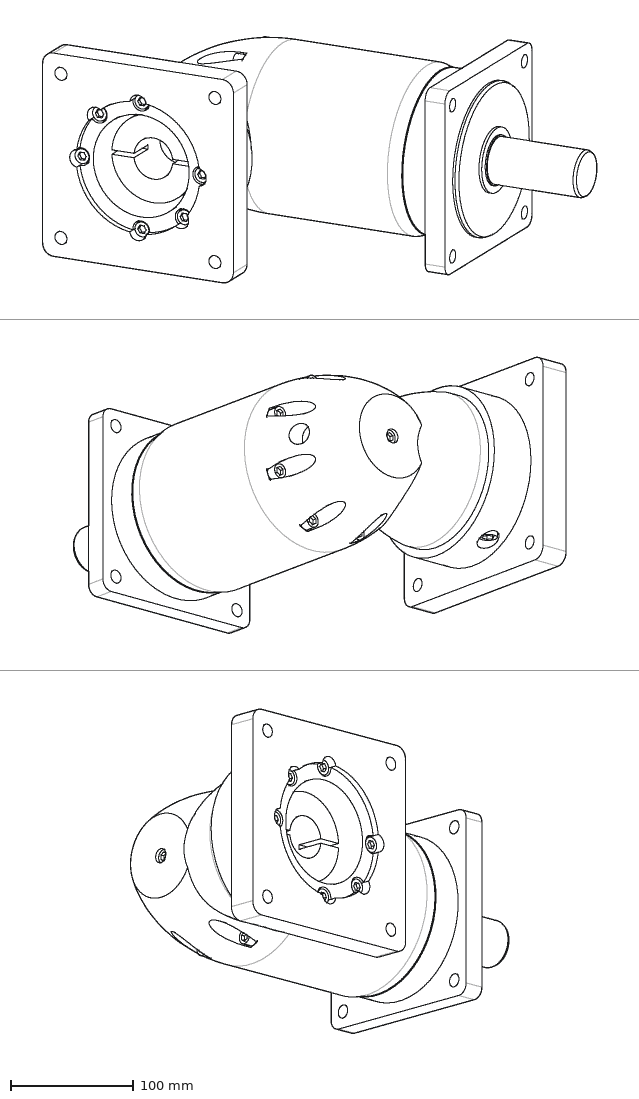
import cadquery as cq
import math


BARREL_FRONT_X = -45.3
OGIVE_END_X = 56.5
BARREL_END_X = 189.0
NECK_START_X = 201.0
GROOVE_END_X = 201.8
FLANGE_X = 227.0
FLANGE_THICKNESS = 18.0
BOSS_LENGTH = 5.0
SEAL_LENGTH = 2.5
SHOULDER_LENGTH = 1.3
SHAFT_END_X = 335.5
BOSS_X = FLANGE_X + FLANGE_THICKNESS
SEAL_X = BOSS_X + BOSS_LENGTH
SHOULDER_X = SEAL_X + SEAL_LENGTH
SHAFT_X = SHOULDER_X + SHOULDER_LENGTH

BARREL_FRONT_RADIUS = 35.5
BARREL_RADIUS = 72.5
NECK_RADIUS = 70.0
NECK_HOLLOW = 0.5
GROOVE_DEPTH = 0.5
BOSS_RADIUS = 65.0
BOSS_CHAMFER_LENGTH = 3.0
BOSS_CHAMFER_DEPTH = 1.3
SEAL_RADIUS = 27.5
SHOULDER_RADIUS = 21.0
SHAFT_RADIUS = 20.0
SHAFT_CHAMFER_LENGTH = 2.5
SHAFT_CHAMFER_DEPTH = 1.3

FLANGE_SIDE = 158.0
FLANGE_CORNER_RADIUS = 9.0
FLANGE_HOLE_OFFSET = 65.0
FLANGE_HOLE_RADIUS = 5.5

ELBOW_TIP_Y = -25.5
ELBOW_ARC_Y = -78.0
COLLAR_Y = -86.7
PLATE_Y = -126.0
INPUT_FACE_Y = -151.0
ELBOW_RADIUS = 65.0
ELBOW_TIP_RADIUS = 44.0
ELBOW_BULGE = 3.5
COLLAR_RADIUS = 72.5

PLATE_SIDE = 175.0
PLATE_CORNER_RADIUS = 10.0
PLATE_HOLE_OFFSET = 70.5
PLATE_HOLE_RADIUS = 5.5
SPIGOT_RADIUS = 56.5
SPIGOT_SETBACK = 6.0
SPIGOT_FACE_Y = INPUT_FACE_Y + SPIGOT_SETBACK

INPUT_BORE_RADIUS = 44.0
INPUT_BORE_FLOOR_Y = -76.0
HUB_RADIUS = 38.0
HUB_BORE_RADIUS = 17.8
HUB_SETBACK = 22.0
HUB_FACE_Y = SPIGOT_FACE_Y + HUB_SETBACK
SLIT_WIDTH = 4.0
SLIT_DEPTH = 25.5

SOCKET_DIAMETER = 7.5
SOCKET_DEPTH = 3.5

BARREL_SCREW_CIRCLE_RADIUS = 64.7
BARREL_SCREW_ANGLES = (-112.5, -67.5, -22.5, 22.5, 67.5, 112.5)
BARREL_POCKET_RADIUS = 7.0
BARREL_HEAD_RADIUS = 6.0
BARREL_POCKET_FLOOR_X = 35.0
BARREL_HEAD_HEIGHT = 9.0

PLATE_SCREW_CIRCLE_RADIUS = 55.0
PLATE_SCREW_ANGLES = (0, 90, 135, 180, 270, 315)
PLATE_POCKET_RADIUS = 7.5
PLATE_POCKET_DEPTH = 12.5
PLATE_HEAD_RADIUS = 6.5
PLATE_HEAD_SETBACK = 7.0

COLLAR_SCREW_X = 35.5
COLLAR_SCREW_Y = -111.2
COLLAR_POCKET_RADIUS = 9.0
COLLAR_POCKET_FLOOR_Z = 50.8
COLLAR_HEAD_RADIUS = 7.5
COLLAR_HEAD_HEIGHT = 9.7
COLLAR_SOCKET_DIAMETER = 10.0

FRONT_POCKET_RADIUS = 6.0
FRONT_POCKET_DEPTH = 3.5

REAR_HOLE_RADIUS = 9.0
REAR_HOLE_FLOOR_Y = 50.8

X_DIR = cq.Vector(1, 0, 0)
Y_DIR = cq.Vector(0, 1, 0)
Z_DIR = cq.Vector(0, 0, 1)


def rod(radius, start, end):
    """Solid cylinder whose axis runs from start to end."""
    axis = end - start
    return cq.Workplane(cq.Solid.makeCylinder(radius, axis.Length, start, axis))


def socket(mouth, inward, diameter=SOCKET_DIAMETER):
    """Hexagonal screw socket that opens at mouth."""
    plane = cq.Plane(mouth, (inward.y, inward.z, inward.x), inward)
    return cq.Workplane(plane).polygon(6, diameter).extrude(SOCKET_DEPTH)


def screw_head(radius, top, base, socket_diameter=SOCKET_DIAMETER):
    """Socket-head screw: a round head from base to top with a hexagonal socket in the top."""
    inward = (base - top).normalized()
    return rod(radius, top, base).cut(socket(top, inward, socket_diameter))


def square_plate(plane, side, thickness, corner_radius, hole_offset, hole_radius):
    """Square plate with rounded corners and a through hole near each corner."""
    blank = cq.Workplane(plane).rect(side, side).extrude(thickness)
    blank = blank.edges(cq.selectors.ParallelDirSelector(plane.zDir)).fillet(corner_radius)
    holes = (
        cq.Workplane(plane)
        .rect(2 * hole_offset, 2 * hole_offset, forConstruction=True)
        .vertices()
        .circle(hole_radius)
        .extrude(thickness)
    )
    return blank.cut(holes)


def barrel():
    """Turned body about X: ogive nose, barrel, neck, boss, seal ring and output shaft."""
    length = OGIVE_END_X - BARREL_FRONT_X
    rise = BARREL_RADIUS - BARREL_FRONT_RADIUS
    arc_radius = (length**2 + rise**2) / (2 * rise)
    half_length = length / 2
    mid_radius = BARREL_RADIUS - arc_radius + math.sqrt(arc_radius**2 - half_length**2)
    return (
        cq.Workplane("XZ")
        .moveTo(BARREL_FRONT_X, 0)
        .lineTo(BARREL_FRONT_X, BARREL_FRONT_RADIUS)
        .threePointArc((OGIVE_END_X - half_length, mid_radius), (OGIVE_END_X, BARREL_RADIUS))
        .lineTo(BARREL_END_X, BARREL_RADIUS)
        .sagittaArc((NECK_START_X, NECK_RADIUS), -NECK_HOLLOW)
        .lineTo(NECK_START_X, NECK_RADIUS - GROOVE_DEPTH)
        .lineTo(GROOVE_END_X, NECK_RADIUS - GROOVE_DEPTH)
        .lineTo(GROOVE_END_X, NECK_RADIUS)
        .lineTo(BOSS_X, NECK_RADIUS)
        .lineTo(BOSS_X, BOSS_RADIUS)
        .lineTo(SEAL_X - BOSS_CHAMFER_LENGTH, BOSS_RADIUS)
        .lineTo(SEAL_X, BOSS_RADIUS - BOSS_CHAMFER_DEPTH)
        .lineTo(SEAL_X, SEAL_RADIUS)
        .lineTo(SHOULDER_X, SEAL_RADIUS)
        .lineTo(SHOULDER_X, SHOULDER_RADIUS)
        .lineTo(SHAFT_X, SHOULDER_RADIUS)
        .lineTo(SHAFT_X, SHAFT_RADIUS)
        .lineTo(SHAFT_END_X - SHAFT_CHAMFER_LENGTH, SHAFT_RADIUS)
        .lineTo(SHAFT_END_X, SHAFT_RADIUS - SHAFT_CHAMFER_DEPTH)
        .lineTo(SHAFT_END_X, 0)
        .close()
        .revolve(360, (0, 0, 0), (1, 0, 0))
    )


def elbow():
    """Turned body about Y: rounded elbow, collar and the spigot for the input plate."""
    return (
        cq.Workplane("XY")
        .moveTo(0, ELBOW_TIP_Y)
        .lineTo(-ELBOW_TIP_RADIUS, ELBOW_TIP_Y)
        .sagittaArc((-ELBOW_RADIUS, ELBOW_ARC_Y), -ELBOW_BULGE)
        .lineTo(-ELBOW_RADIUS, COLLAR_Y)
        .lineTo(-COLLAR_RADIUS, COLLAR_Y)
        .lineTo(-COLLAR_RADIUS, PLATE_Y)
        .lineTo(-SPIGOT_RADIUS, PLATE_Y)
        .lineTo(-SPIGOT_RADIUS, SPIGOT_FACE_Y)
        .lineTo(0, SPIGOT_FACE_Y)
        .close()
        .revolve(360, (0, 0, 0), (0, 1, 0))
    )


def add_barrel_screws(body):
    """Screws parallel to X, sunk in pockets that break out through the ogive."""
    for angle in BARREL_SCREW_ANGLES:
        turn = math.radians(angle)
        axis = (Y_DIR * math.cos(turn) + Z_DIR * math.sin(turn)) * BARREL_SCREW_CIRCLE_RADIUS
        floor = axis + X_DIR * BARREL_POCKET_FLOOR_X
        body = body.cut(rod(BARREL_POCKET_RADIUS, axis + X_DIR * BARREL_FRONT_X, floor))
        body = body.union(screw_head(BARREL_HEAD_RADIUS, floor - X_DIR * BARREL_HEAD_HEIGHT, floor))
    return body


def add_collar_screws(body):
    """Two clamping screws in the collar, half a turn apart about Y."""
    for side in (1, -1):
        axis = cq.Vector(side * COLLAR_SCREW_X, COLLAR_SCREW_Y, 0)
        outward = Z_DIR * side
        floor = axis + outward * COLLAR_POCKET_FLOOR_Z
        body = body.cut(rod(COLLAR_POCKET_RADIUS, floor, axis + outward * COLLAR_RADIUS))
        top = floor + outward * COLLAR_HEAD_HEIGHT
        body = body.union(screw_head(COLLAR_HEAD_RADIUS, top, floor, COLLAR_SOCKET_DIAMETER))
    return body


def plate_screw_axes():
    """Points on the input face where the plate screw axes pass."""
    points = []
    for angle in PLATE_SCREW_ANGLES:
        turn = math.radians(angle)
        radial = X_DIR * math.cos(turn) + Z_DIR * math.sin(turn)
        points.append(radial * PLATE_SCREW_CIRCLE_RADIUS + Y_DIR * INPUT_FACE_Y)
    return points


def cut_plate_screw_pockets(body):
    """Round pockets that straddle the joint between the plate and the spigot."""
    for mouth in plate_screw_axes():
        body = body.cut(rod(PLATE_POCKET_RADIUS, mouth, mouth + Y_DIR * PLATE_POCKET_DEPTH))
    return body


def add_plate_screws(body):
    """Screw heads standing on the floors of the plate screw pockets."""
    for mouth in plate_screw_axes():
        top = mouth + Y_DIR * PLATE_HEAD_SETBACK
        body = body.union(screw_head(PLATE_HEAD_RADIUS, top, mouth + Y_DIR * PLATE_POCKET_DEPTH))
    return body


def make_housing():
    """Gearbox housing with its output shaft, flange and screws."""
    flange_plane = cq.Plane((FLANGE_X, 0, 0), Y_DIR, X_DIR)
    flange = square_plate(
        flange_plane,
        FLANGE_SIDE,
        FLANGE_THICKNESS,
        FLANGE_CORNER_RADIUS,
        FLANGE_HOLE_OFFSET,
        FLANGE_HOLE_RADIUS,
    )
    body = barrel().union(elbow()).union(flange)

    body = body.cut(rod(INPUT_BORE_RADIUS, Y_DIR * SPIGOT_FACE_Y, Y_DIR * INPUT_BORE_FLOOR_Y))

    body = body.cut(rod(REAR_HOLE_RADIUS, Y_DIR * REAR_HOLE_FLOOR_Y, Y_DIR * BARREL_RADIUS))

    front = X_DIR * BARREL_FRONT_X
    front_floor = front + X_DIR * FRONT_POCKET_DEPTH
    body = body.cut(rod(FRONT_POCKET_RADIUS, front, front_floor))
    body = body.cut(socket(front_floor, X_DIR))

    body = add_barrel_screws(body)
    body = add_collar_screws(body)
    body = cut_plate_screw_pockets(body)
    return add_plate_screws(body)


def make_input_plate():
    """Square input plate that fits around the spigot."""
    plane = cq.Plane((0, INPUT_FACE_Y, 0), X_DIR, Y_DIR)
    thickness = PLATE_Y - INPUT_FACE_Y
    plate = square_plate(
        plane, PLATE_SIDE, thickness, PLATE_CORNER_RADIUS, PLATE_HOLE_OFFSET, PLATE_HOLE_RADIUS
    )
    plate = plate.cut(rod(SPIGOT_RADIUS, Y_DIR * INPUT_FACE_Y, Y_DIR * PLATE_Y))
    return cut_plate_screw_pockets(plate)


def make_hub():
    """Clamping hub with a slit across the open end of its bore."""
    face = Y_DIR * HUB_FACE_Y
    floor = Y_DIR * INPUT_BORE_FLOOR_Y
    hub = rod(HUB_RADIUS, face, floor).cut(rod(HUB_BORE_RADIUS, face, floor))
    slit = (
        cq.Workplane(cq.Plane(face, X_DIR, Y_DIR))
        .rect(2 * HUB_RADIUS, SLIT_WIDTH)
        .extrude(SLIT_DEPTH)
    )
    return hub.cut(slit)


housing = make_housing()
input_plate = make_input_plate()
hub = make_hub()

result = cq.Compound.makeCompound([body.solids().val() for body in (housing, input_plate, hub)])